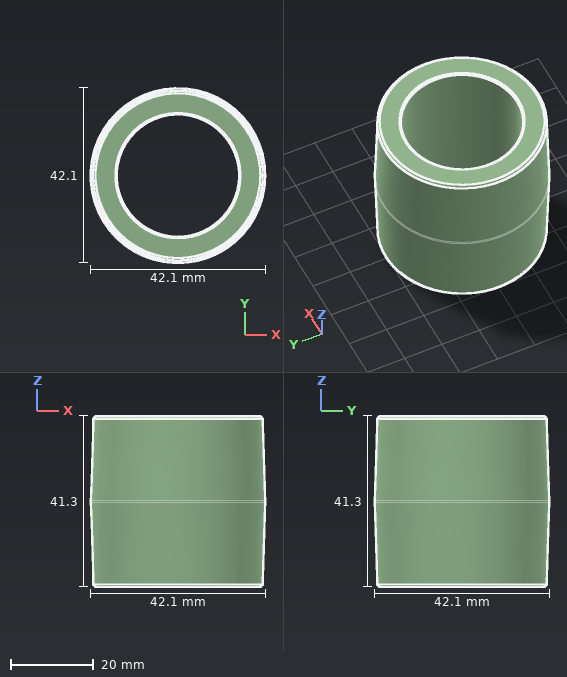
import cadquery as cq

max_diameter = 42.15
height = 41.27
bore_diameter = 29.5
band_height = 0.5

taper_run = 32.0

outer_chamfer_width = 0.6
outer_chamfer_height = 0.67
bore_chamfer = 0.35

max_radius = max_diameter / 2
bore_radius = bore_diameter / 2
top = height / 2
shoulder = top - outer_chamfer_height
band_top = band_height / 2
end_radius = max_radius - (shoulder - band_top) / taper_run

wall_section = (
    cq.Workplane("XZ")
    .moveTo(bore_radius, -top + bore_chamfer)
    .lineTo(bore_radius + bore_chamfer, -top)
    .lineTo(end_radius - outer_chamfer_width, -top)
    .lineTo(end_radius, -shoulder)
    .lineTo(max_radius, -band_top)
    .lineTo(max_radius, band_top)
    .lineTo(end_radius, shoulder)
    .lineTo(end_radius - outer_chamfer_width, top)
    .lineTo(bore_radius + bore_chamfer, top)
    .lineTo(bore_radius, top - bore_chamfer)
    .close()
)

result = wall_section.revolve(360, (0, 0, 0), (0, 1, 0))